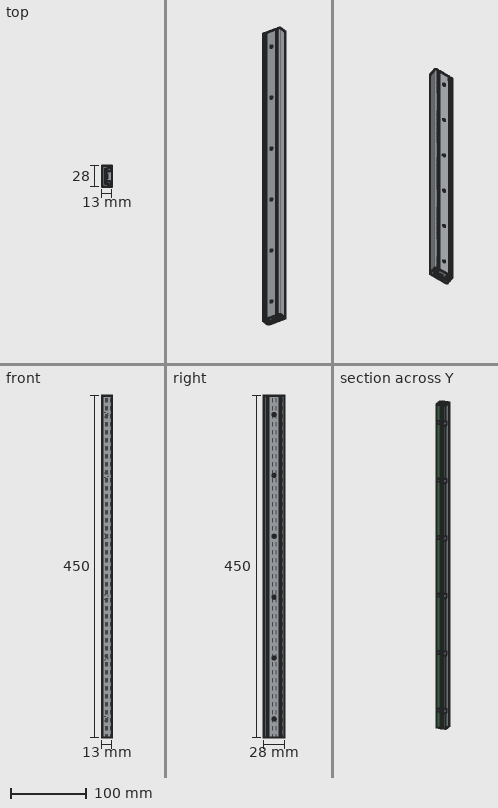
import cadquery as cq

length = 450.0
width = 28.0
depth = 13.0

web_thickness = 4.0
flange_thickness = 4.0
back_fillet = 1.0
lip_fillet = 1.5

rail_back = 5.5
rail_width = 15.5
relief_width = 4.5
relief_depth = 1.5

race_center = 9.0
race_half_width = 2.2
race_depth = 1.0

hole_count = 6
hole_pitch = 80.0
channel_hole_diameter = 6.0
rail_hole_diameter = 3.0


def screw_holes(diameter):
    """Cylinders along X at every screw position, spanning the full depth."""
    return (
        cq.Workplane("YZ")
        .rarray(4.5, hole_pitch, 1, hole_count)
        .circle(diameter / 2)
        .extrude(depth)
    )


def raceways(wall_y, cut_direction):
    """A pair of grooves along Z, cut into the walls at y = wall_y and y = -wall_y.

    A cut direction of +1 goes away from the centre plane, and -1 goes toward it.
    """
    groove = (
        cq.Workplane("XY")
        .workplane(offset=-length / 2)
        .moveTo(race_center - race_half_width, wall_y)
        .threePointArc(
            (race_center, wall_y + cut_direction * race_depth),
            (race_center + race_half_width, wall_y),
        )
        .close()
        .extrude(length)
    )
    return groove.union(groove.mirror("XZ"))


def make_channel():
    """C-shaped outer channel, open toward +X."""
    inner_half_width = width / 2 - flange_thickness
    body = (
        cq.Workplane("XY")
        .box(depth, width, length, centered=(False, True, True))
    )
    body = body.edges("|Z and <X").fillet(back_fillet)
    body = body.edges("|Z and >X").fillet(lip_fillet)
    opening = (
        cq.Workplane("XY")
        .box(depth, 2 * inner_half_width, length, centered=(False, True, True))
        .translate((web_thickness, 0, 0))
    )
    body = body.cut(opening)
    body = body.cut(raceways(inner_half_width, 1))
    return body.cut(screw_holes(channel_hole_diameter))


def make_rail():
    """Inner rail, flush with the channel lips and relieved along its back."""
    body = (
        cq.Workplane("XY")
        .box(depth - rail_back, rail_width, length, centered=(False, True, True))
        .translate((rail_back, 0, 0))
    )
    relief = (
        cq.Workplane("XY")
        .box(relief_depth, relief_width, length, centered=(False, True, True))
        .translate((rail_back, 0, 0))
    )
    body = body.cut(relief)
    body = body.cut(raceways(rail_width / 2, -1))
    return body.cut(screw_holes(rail_hole_diameter))


channel = make_channel()
rail = make_rail()

result = cq.Compound.makeCompound([channel.val(), rail.val()])